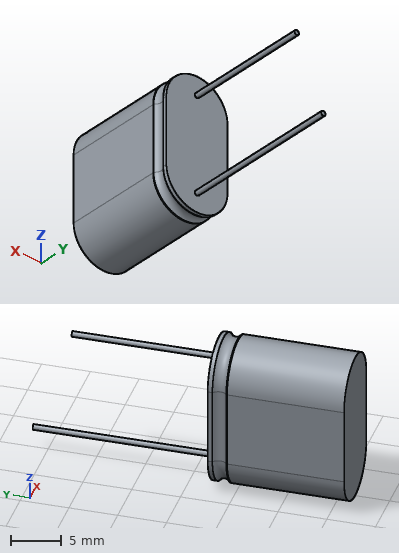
import cadquery as cq

total_length = 33.0
case_width = 8.0
case_height = 16.0
long_lead_length = 19.0
lead_length_difference = 4.0
lead_diameter = 0.6
lead_spacing = 11.5

base_length = 2.0
rim_length = 0.5
groove_width = 1.42
groove_depth = 0.35

case_length = total_length - long_lead_length
can_length = case_length - base_length
short_lead_length = long_lead_length - lead_length_difference
end_radius = case_width / 2
end_center_z = case_height / 2 - end_radius
groove_end_y = case_length - rim_length
groove_start_y = groove_end_y - groove_width
groove_middle_y = groove_start_y + groove_width / 2


def rounded_prism(start_y, length):
    """Prism along +Y whose section has straight sides and full-round ends."""
    section = cq.Workplane("XZ", origin=(0, start_y, 0)).slot2D(case_height, case_width, 90)
    return section.extrude(-length)


def base_half_profile():
    """Base section from the axis of a round end out to the grooved wall."""
    return (
        cq.Workplane("XY")
        .moveTo(0, can_length)
        .lineTo(end_radius, can_length)
        .lineTo(end_radius, groove_start_y)
        .threePointArc((end_radius - groove_depth, groove_middle_y), (end_radius, groove_end_y))
        .lineTo(end_radius, case_length)
        .lineTo(0, case_length)
        .close()
    )


def make_base():
    """Base with a concave groove all around, seated on the open end of the can."""
    half_middle = base_half_profile().extrude(end_center_z, both=True)
    middle = half_middle.union(half_middle.mirror("YZ"))
    round_end = base_half_profile().revolve(360, (0, 0, 0), (0, 1, 0))
    base = middle
    for side in (-1, 1):
        base = base.union(round_end.translate((0, 0, side * end_center_z)))
    return base.solids()


def make_lead(length, center_z):
    """Round wire standing on the outer face of the base."""
    wire_section = cq.Workplane("XZ", origin=(0, case_length, center_z)).circle(lead_diameter / 2)
    return wire_section.extrude(-length)


can = rounded_prism(0, can_length)
base = make_base()

leads = []
for length, side in ((long_lead_length, -1), (short_lead_length, 1)):
    lead = make_lead(length, side * lead_spacing / 2)
    leads.append(lead.val())

result = cq.Compound.makeCompound([can.val(), base.val(), *leads])